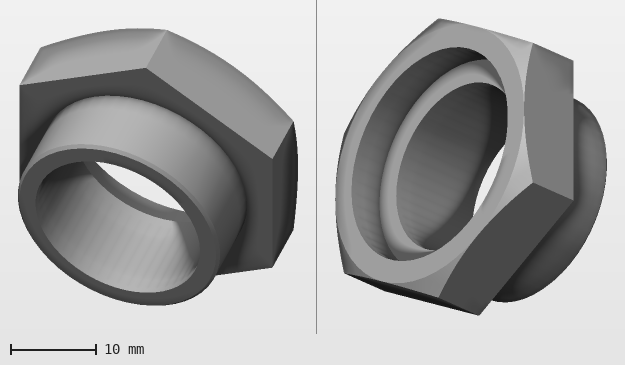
import cadquery as cq
import math

corner_diameter = 36.65
flat_width = corner_diameter * math.cos(math.radians(30))
total_length = 16.75
head_thickness = 8.0
corner_bevel_angle = 30.0

spigot_diameter = 25.4
spigot_length = total_length - head_thickness
tip_chamfer = 0.35

bore_diameter = 20.65
recess_diameter = 26.3
recess_depth = 4.5


def cylinder(diameter, start, length):
    """Cylinder along +Y from the given Y position."""
    plane = cq.Workplane("XZ", origin=(0, start, 0))
    return plane.circle(diameter / 2).extrude(-length)


def hex_head():
    """Hexagon with corners on Z, its back corners bevelled by a cone."""
    hexagon = (
        cq.Workplane("XZ")
        .polygon(6, corner_diameter)
        .extrude(-head_thickness)
        .rotate((0, 0, 0), (0, 1, 0), 30)
    )
    corner_radius = corner_diameter / 2
    flat_radius = flat_width / 2
    bevel_height = (corner_radius - flat_radius) * math.tan(math.radians(corner_bevel_angle))
    bevel_envelope = (
        cq.Workplane("XY")
        .moveTo(0, 0)
        .lineTo(corner_radius, 0)
        .lineTo(corner_radius, head_thickness - bevel_height)
        .lineTo(flat_radius, head_thickness)
        .lineTo(0, head_thickness)
        .close()
        .revolve(360, (0, 0, 0), (0, 1, 0))
    )
    return hexagon.intersect(bevel_envelope)


def spigot():
    """Round spigot with a chamfered free end."""
    return cylinder(spigot_diameter, -spigot_length, spigot_length).faces("<Y").chamfer(tip_chamfer)


bore = cylinder(bore_diameter, -spigot_length, total_length)
recess = cylinder(recess_diameter, head_thickness - recess_depth, recess_depth)

result = hex_head().union(spigot()).cut(bore).cut(recess)